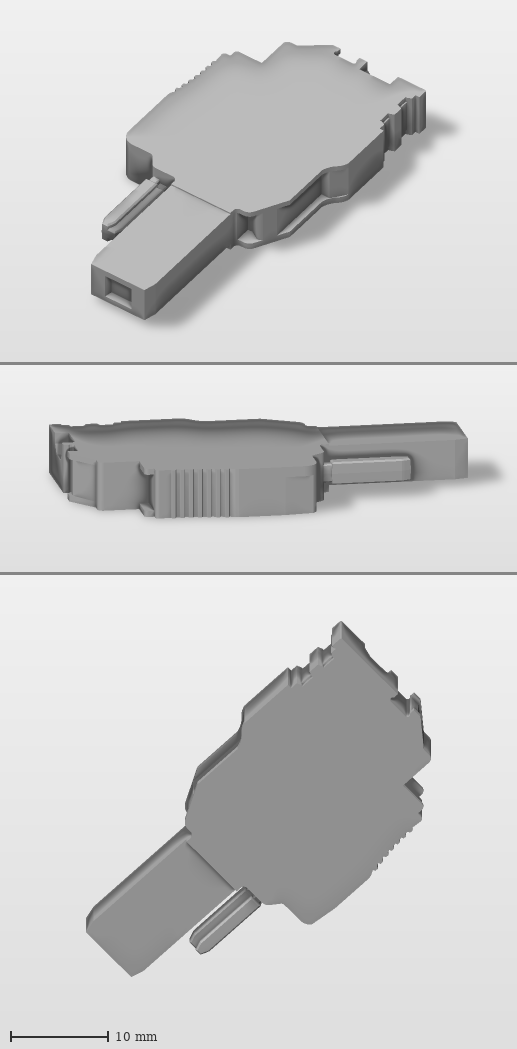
import cadquery as cq
import math

WIDTH = 21.2
LENGTH = 41.5
THICKNESS = 5.1

COVER = 0.62
LOWER_COVER = 0.75

FRONT_Y = 15.6
ROOT_END_Y = 14.55
CORNER_RADIUS = 1.5
CORNER_Y = 17.1
RAMP_X = 4.05
PIN_SIDE_X = 5.15
FLANK_FOOT = (17.68, 16.2)
FLANK_ARC_MIDDLE = (17.3, 15.75)
FLANK_ARC_END_X = 16.75
FLANK_TOP = (19.65, 19.7)
WAIST_TOP_Y = 25.35
WAIST_ARC_MIDDLE = (19.88, 25.98)
BEVEL_START = (20.38, 26.65)
BEVEL_ARC_MIDDLE = (20.95, 27.25)
BEVEL_TOP_Y = 27.85
STEP_Y = 34.0
SHOULDER_Y = 35.0
SHOULDER_X = 1.75
REAR_WALL_X = 5.02
REAR_LEDGE_Y = 39.25
SLOPE_FOOT_X = 6.45
SLOPE_TOP_X = 9.3

TOOTH_COUNT = 7
TOOTH_PITCH = 0.9
TOOTH_DEPTH = 0.25
TOOTH_LAND = 0.35
TOOTH_RAMP = 0.12
FIRST_TOOTH_Y = 32.12
GRIP_START = (0.1, 25.8)
GRIP_LEAD = 0.37
GRIP_X = 0.75
GRIP_RADIUS = 25.3
GRIP_WALL_X = 0.87

NOTCH_LEFT = 10.3
NOTCH_RIGHT = 12.7
NOTCH_FLOOR_Y = 40.42
NOTCH_LIP = 0.55
NOTCH_UNDERCUT = 0.15

RAIL_X = 20.7
RAIL_TOP_Y = 40.25
SIDE_NOTCH_X = 20.2
SIDE_NOTCH_RAMP = 0.2
SIDE_NOTCHES_Y = [(34.78, 36.6), (37.75, 39.65)]
COVER_SETBACK = 0.15

PLUG_LEFT = 8.3
PLUG_RIGHT = 15.8
PLUG_TOP_GAP = 0.15
PLUG_TAPER = (0.37, 1.4)
ROOT_FILLET = 0.5

PIN_LEFT = 4.9
PIN_FLANGE_RIGHT = 6.4
PIN_WEB_RIGHT = 7.3
PIN_TIP_Y = 6.55
PIN_SHOULDER_Y = 14.85
PIN_MID_Z = 2.82
PIN_FLANGE_HEIGHT = 2.4
PIN_WEB_HEIGHT = 1.4
PIN_TIP_TAPER = [(0, 1.0), (0.1, 0.7), (0.25, 0.3), (0.37, 0)]
PIN_EDGE = 0.15
PIN_DRAFT_ANGLE = 2.0
NECK_INSET = 0.25
NECK_EDGE = 0.12


def prism(points, z_low, z_high):
    """Closed polygon in plan, extruded between two heights."""
    return cq.Workplane("XY").workplane(offset=z_low).polyline(points).close().extrude(z_high - z_low)


def tooth_points():
    """Grip teeth from the front of the housing to the rear."""
    points = []
    for index in reversed(range(TOOTH_COUNT)):
        middle_y = FIRST_TOOTH_Y - index * TOOTH_PITCH
        bow = GRIP_RADIUS - math.sqrt(GRIP_RADIUS**2 - (index * TOOTH_PITCH) ** 2)
        tip_x = GRIP_X - bow
        half_land = TOOTH_LAND / 2
        points += [
            (tip_x + TOOTH_DEPTH, middle_y - half_land - TOOTH_RAMP),
            (tip_x, middle_y - half_land),
            (tip_x, middle_y + half_land),
            (tip_x + TOOTH_DEPTH, middle_y + half_land + TOOTH_RAMP),
        ]
    return points


def rear_notch_points():
    lip_y = LENGTH - NOTCH_LIP
    undercut_y = lip_y - NOTCH_UNDERCUT
    corner_y = NOTCH_FLOOR_Y + NOTCH_UNDERCUT
    left = [
        (NOTCH_LEFT, LENGTH),
        (NOTCH_LEFT, lip_y),
        (NOTCH_LEFT - NOTCH_UNDERCUT, undercut_y),
        (NOTCH_LEFT - NOTCH_UNDERCUT, corner_y),
        (NOTCH_LEFT, NOTCH_FLOOR_Y),
    ]
    right = [(NOTCH_LEFT + NOTCH_RIGHT - x, y) for x, y in reversed(left)]
    return left + right


def side_notch_points():
    """Right-edge notches from the rear to the front."""
    points = []
    for low_y, high_y in reversed(SIDE_NOTCHES_Y):
        points += [
            (RAIL_X, high_y),
            (SIDE_NOTCH_X, high_y - SIDE_NOTCH_RAMP),
            (SIDE_NOTCH_X, low_y + SIDE_NOTCH_RAMP),
            (RAIL_X, low_y),
        ]
    return points


def round_corner(body, x, y, radius):
    """Round the upright edge that stands at the given plan position."""
    reach = 0.02
    column = cq.selectors.BoxSelector((x - reach, y - reach, -0.4), (x + reach, y + reach, THICKNESS + 0.4))
    return body.edges("|Z").edges(column).fillet(radius)


def make_housing():
    outline = (
        cq.Workplane("XY")
        .moveTo(0, CORNER_Y)
        .lineTo(0, GRIP_START[1] - GRIP_LEAD)
        .lineTo(*GRIP_START)
    )
    for point in tooth_points():
        outline = outline.lineTo(*point)
    outline = (
        outline.lineTo(GRIP_WALL_X, STEP_Y)
        .lineTo(SHOULDER_X, STEP_Y)
        .lineTo(SHOULDER_X, SHOULDER_Y)
        .lineTo(REAR_WALL_X, SHOULDER_Y)
        .lineTo(REAR_WALL_X, REAR_LEDGE_Y)
        .lineTo(SLOPE_FOOT_X, REAR_LEDGE_Y)
        .lineTo(SLOPE_TOP_X, LENGTH)
    )
    for point in rear_notch_points():
        outline = outline.lineTo(*point)
    outline = (
        outline.lineTo(WIDTH, LENGTH)
        .lineTo(WIDTH, RAIL_TOP_Y)
        .lineTo(RAIL_X, RAIL_TOP_Y)
    )
    for point in side_notch_points():
        outline = outline.lineTo(*point)
    outline = (
        outline.lineTo(RAIL_X, STEP_Y)
        .lineTo(WIDTH, STEP_Y)
        .lineTo(WIDTH, BEVEL_TOP_Y)
        .threePointArc(BEVEL_ARC_MIDDLE, BEVEL_START)
        .threePointArc(WAIST_ARC_MIDDLE, (FLANK_TOP[0], WAIST_TOP_Y))
        .lineTo(*FLANK_TOP)
        .lineTo(*FLANK_FOOT)
        .threePointArc(FLANK_ARC_MIDDLE, (FLANK_ARC_END_X, FRONT_Y))
        .lineTo(PLUG_RIGHT, FRONT_Y)
        .lineTo(PLUG_RIGHT, ROOT_END_Y)
        .lineTo(PLUG_LEFT, ROOT_END_Y)
        .lineTo(PLUG_LEFT, FRONT_Y)
        .lineTo(PIN_SIDE_X, FRONT_Y)
        .lineTo(RAMP_X, CORNER_Y)
        .close()
    )
    body = outline.extrude(THICKNESS)
    rounded = [
        (0, CORNER_Y, CORNER_RADIUS),
        (GRIP_WALL_X, STEP_Y, 0.37),
        (SHOULDER_X, SHOULDER_Y, 0.4),
        (REAR_WALL_X, REAR_LEDGE_Y, 0.6),
        (WIDTH, LENGTH, 0.15),
        (RAMP_X, CORNER_Y, 0.4),
        (PIN_SIDE_X, FRONT_Y, 0.85),
        (PLUG_LEFT, FRONT_Y, ROOT_FILLET),
        (PLUG_RIGHT, FRONT_Y, ROOT_FILLET),
    ]
    for x, y, radius in rounded:
        body = round_corner(body, x, y, radius)
    return body


def rear_core_cuts():
    """Core set back from the covers at the shoulder and at the rear slope."""
    core_top = THICKNESS - COVER
    slope_setback = 0.37
    shoulder = prism(
        [(0, STEP_Y), (REAR_WALL_X, STEP_Y), (REAR_WALL_X, SHOULDER_Y), (0, SHOULDER_Y)], COVER, core_top
    )
    slope = prism(
        [
            (SLOPE_FOOT_X, REAR_LEDGE_Y),
            (SLOPE_TOP_X, LENGTH - slope_setback),
            (NOTCH_LEFT, LENGTH - slope_setback),
            (NOTCH_LEFT, LENGTH),
            (SLOPE_FOOT_X, LENGTH),
        ],
        COVER,
        core_top,
    )
    return shoulder.union(slope)


def side_cover_cuts():
    """Covers set back slightly at the floors of the right-edge notches."""
    cuts = cq.Workplane("XY")
    for low_y, high_y in SIDE_NOTCHES_Y:
        floor_low = low_y + SIDE_NOTCH_RAMP
        floor_high = high_y - SIDE_NOTCH_RAMP
        inner_x = SIDE_NOTCH_X - COVER_SETBACK
        strip = [(inner_x, floor_low), (RAIL_X, floor_low), (RAIL_X, floor_high), (inner_x, floor_high)]
        cuts = cuts.union(prism(strip, 0, COVER))
        cuts = cuts.union(prism(strip, THICKNESS - COVER, THICKNESS))
    return cuts


def flank_point(x):
    """Point on the straight right flank at the given X."""
    slope = (FLANK_TOP[1] - FLANK_FOOT[1]) / (FLANK_TOP[0] - FLANK_FOOT[0])
    return (x, FLANK_FOOT[1] + slope * (x - FLANK_FOOT[0]))


def latch_cuts():
    """Hooked recess at the foot of the right flank and a recess behind its upper end."""
    core_height = THICKNESS - COVER - LOWER_COVER
    hook_left = 15.98
    hook_ceiling_y = 17.45
    hook_shoulder_x = 16.5
    nose_start = (17.55, 16.8)
    nose_middle = (17.95, 16.9)
    hook_right = flank_point(18.3)
    hook = (
        cq.Workplane("XY")
        .workplane(offset=LOWER_COVER)
        .moveTo(hook_left, ROOT_END_Y)
        .lineTo(hook_left, hook_ceiling_y)
        .lineTo(hook_shoulder_x, hook_ceiling_y)
        .lineTo(*nose_start)
        .threePointArc(nose_middle, hook_right)
        .lineTo(hook_right[0], ROOT_END_Y)
        .close()
        .extrude(core_height)
    )
    recess_start = flank_point(18.92)
    recess_end_x = 19.95
    recess_end_y = 26.23
    recess = prism(
        [
            recess_start,
            (recess_start[0], recess_end_y),
            (recess_end_x, recess_end_y),
            (WIDTH, BEVEL_TOP_Y),
            (WIDTH, recess_start[1]),
        ],
        LOWER_COVER,
        THICKNESS - COVER,
    )
    return hook.union(recess)


def marker_groove():
    """Groove open to the rear edge: upright walls at the top, sloped walls down to its floor."""
    left, right = 13.7, 17.6
    side_run = 0.8
    slope_z = THICKNESS - 1.1
    floor_z = slope_z - 0.95
    length = 1.4
    return (
        cq.Workplane("XZ", origin=(0, LENGTH, 0))
        .polyline(
            [
                (left, THICKNESS),
                (left, slope_z),
                (left + side_run, floor_z),
                (right - side_run, floor_z),
                (right, slope_z),
                (right, THICKNESS),
            ]
        )
        .close()
        .extrude(length)
    )


def corner_flat():
    """Slanted flat on the rounded front-left corner, below the upper rim."""
    height = 4.03
    start_y = 20.63
    inset = 0.4
    return prism([(0, start_y), (inset, CORNER_Y), (0, CORNER_Y)], 0, height)


def make_plug():
    taper_x, taper_y = PLUG_TAPER
    outline = [
        (PLUG_LEFT, ROOT_END_Y),
        (PLUG_LEFT, taper_y),
        (PLUG_LEFT + taper_x, 0),
        (PLUG_RIGHT - taper_x, 0),
        (PLUG_RIGHT, taper_y),
        (PLUG_RIGHT, ROOT_END_Y),
    ]
    return prism(outline, LOWER_COVER, THICKNESS - PLUG_TOP_GAP)


def plug_pocket():
    """Shallow pocket in the plug tip with slightly drafted sides."""
    left, right = 10.45, 13.8
    bottom, top = 1.4, 4.25
    depth = 0.87
    draft = 0.15
    outline = [(left, 0), (left + draft, depth), (right - draft, depth), (right, 0)]
    return prism(outline, bottom, top)


def pin_bar(left, right, height, start_y, end_y, taper, edge):
    """Bar centred on the pin height, drafted both ways from its mid-plane, with a tapered tip."""
    left_side = [(left + inset, start_y + rise) for inset, rise in taper]
    right_side = [(right - inset, start_y + rise) for inset, rise in reversed(taper)]
    outline = [(left, end_y)] + left_side + right_side + [(right, end_y)]
    middle = cq.Workplane("XY").workplane(offset=PIN_MID_Z).polyline(outline).close()
    upper = middle.extrude(height / 2, taper=PIN_DRAFT_ANGLE).faces(">Z").edges().chamfer(edge)
    lower = upper.mirror("XY", (0, 0, PIN_MID_Z))
    return upper.union(lower)


def make_pin():
    neck_end_y = FRONT_Y + 0.62
    neck_start_y = PIN_SHOULDER_Y - 0.4
    neck_taper = [(0, 0.12), (0.12, 0)]
    sections = [(PIN_FLANGE_RIGHT, PIN_FLANGE_HEIGHT), (PIN_WEB_RIGHT, PIN_WEB_HEIGHT)]
    pin = cq.Workplane("XY")
    for right, height in sections:
        bar = pin_bar(PIN_LEFT, right, height, PIN_TIP_Y, PIN_SHOULDER_Y, PIN_TIP_TAPER, PIN_EDGE)
        neck = pin_bar(
            PIN_LEFT + NECK_INSET,
            right - NECK_INSET,
            height - 2 * NECK_INSET,
            neck_start_y,
            neck_end_y,
            neck_taper,
            NECK_EDGE,
        )
        pin = pin.union(bar).union(neck)
    return pin


housing = make_housing()
for cut in (rear_core_cuts(), side_cover_cuts(), latch_cuts(), marker_groove(), corner_flat()):
    housing = housing.cut(cut)

plug = make_plug().cut(plug_pocket())
result = housing.union(plug).union(make_pin())